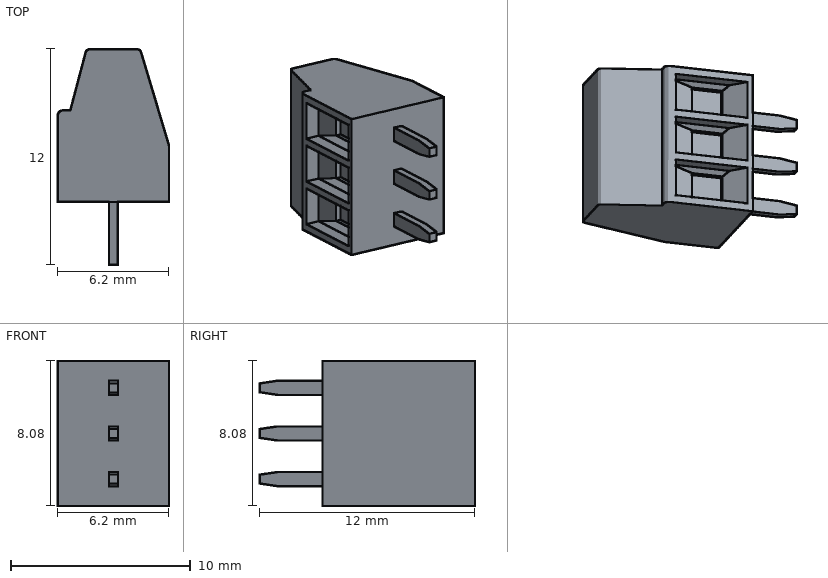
import cadquery as cq


POLE_COUNT = 3
PITCH = 2.54

HOUSING_WIDTH = 6.2
HOUSING_DEPTH = 8.5
HOUSING_HEIGHT = 8.08
ENTRY_FACE_X = -HOUSING_WIDTH / 2
PLAIN_FACE_X = HOUSING_WIDTH / 2
SHOULDER_Y = 5.1
SHOULDER_WIDTH = 0.7
SHOULDER_RADIUS = 0.3
PLAIN_SLOPE_START_Y = 3.15
CREST_START = 1.6
CREST_END = 4.6
CREST_RADIUS = 0.25

MOUTH_Y_MIN = 0.3
MOUTH_Y_MAX = 4.5
MOUTH_HEIGHT = 2.12
THROAT_Y_MIN = 1.4
THROAT_Y_MAX = 3.2
THROAT_HEIGHT = 1.5
THROAT_RISE = 0.05
MOUTH_DEPTH = 0.83
FUNNEL_DEPTH = 1.13
THROAT_DEPTH = 1.43

PIN_LENGTH = 3.5
PIN_THICKNESS = 0.5
PIN_HEIGHT = 0.8
PIN_TIP_HEIGHT = 0.5
PIN_TAPER_LENGTH = 1.0


def make_housing():
    """Constant profile along Z, with a rounded shoulder and rounded crest edges."""
    crest_start_x = ENTRY_FACE_X + CREST_START
    crest_end_x = ENTRY_FACE_X + CREST_END
    profile = [
        (ENTRY_FACE_X, 0),
        (PLAIN_FACE_X, 0),
        (PLAIN_FACE_X, PLAIN_SLOPE_START_Y),
        (crest_end_x, HOUSING_DEPTH),
        (crest_start_x, HOUSING_DEPTH),
        (ENTRY_FACE_X + SHOULDER_WIDTH, SHOULDER_Y),
        (ENTRY_FACE_X, SHOULDER_Y),
    ]
    block = cq.Workplane("XY").polyline(profile).close().extrude(HOUSING_HEIGHT / 2, both=True)
    block = block.faces(">Y").edges("|Z").fillet(CREST_RADIUS)
    shoulder_edge = cq.selectors.NearestToPointSelector((ENTRY_FACE_X, SHOULDER_Y, 0))
    return block.edges("|Z").edges(shoulder_edge).fillet(SHOULDER_RADIUS)


def entry_section(depth, y_min, y_max, height, z_center):
    """Rectangular wire of a wire entry at a depth below the entry face."""
    return (
        cq.Workplane("YZ", origin=(ENTRY_FACE_X + depth, 0, 0))
        .center((y_min + y_max) / 2, z_center)
        .rect(y_max - y_min, height)
        .wire()
        .val()
    )


def make_entry(pole_z):
    """Cutter for one wire entry; its pin-side wall leans at one angle down to the throat."""
    throat_z = pole_z + THROAT_RISE
    lean = (THROAT_Y_MIN - MOUTH_Y_MIN) / FUNNEL_DEPTH
    funnel_y_min = MOUTH_Y_MIN + lean * MOUTH_DEPTH
    sections = [
        entry_section(0, MOUTH_Y_MIN, MOUTH_Y_MAX, MOUTH_HEIGHT, pole_z),
        entry_section(MOUTH_DEPTH, funnel_y_min, MOUTH_Y_MAX, MOUTH_HEIGHT, pole_z),
        entry_section(FUNNEL_DEPTH, THROAT_Y_MIN, THROAT_Y_MAX, THROAT_HEIGHT, throat_z),
        entry_section(THROAT_DEPTH, THROAT_Y_MIN, THROAT_Y_MAX, THROAT_HEIGHT, throat_z),
    ]
    cutter = cq.Workplane("XY")
    for outer, inner in zip(sections, sections[1:]):
        cutter = cutter.add(cq.Solid.makeLoft([outer, inner], True))
    return cutter.combine()


def make_pin(pole_z):
    """Flat pin along -Y whose end tapers in Z."""
    taper_start_y = PIN_TAPER_LENGTH - PIN_LENGTH
    half_height = PIN_HEIGHT / 2
    half_tip = PIN_TIP_HEIGHT / 2
    profile = [
        (0, half_height),
        (taper_start_y, half_height),
        (-PIN_LENGTH, half_tip),
        (-PIN_LENGTH, -half_tip),
        (taper_start_y, -half_height),
        (0, -half_height),
    ]
    pin = cq.Workplane("YZ").polyline(profile).close().extrude(PIN_THICKNESS / 2, both=True)
    return pin.translate((0, 0, pole_z))


result = make_housing()
for pole in range(POLE_COUNT):
    pole_z = (pole - (POLE_COUNT - 1) / 2) * PITCH
    result = result.cut(make_entry(pole_z))
    result = result.union(make_pin(pole_z))